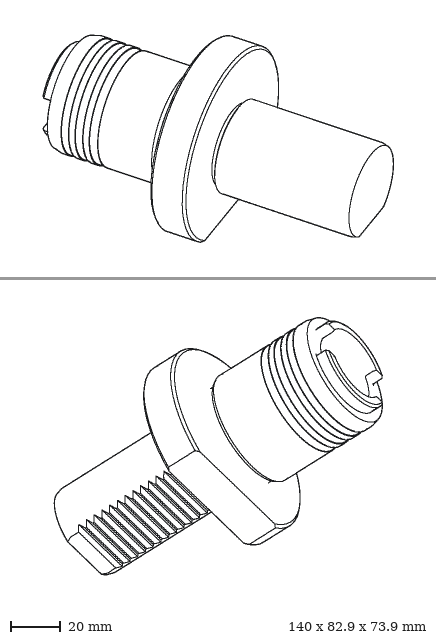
import cadquery as cq
import math

overall_length = 140.0
body_start = 5.6
ridge_starts = (9.0, 15.7, 22.1)
ridge_ends = (12.3, 18.6, 25.0)
body_plain_start = 28.8
body_end = 54.7
flange_start = 61.0
flange_end = 77.0
undercut_end = 79.4

nose_radius = 40.0 / 2
bore_radius = 31.0 / 2
ridge_radius = 50.0 / 2
groove_radius = 49.1 / 2
groove_clearance = 1.4
body_radius = 49.7 / 2
neck_radius = 44.5 / 2
flange_radius = 82.9 / 2
shank_radius = 40.0 / 2
undercut_depth = 2.2

nose_chamfer = 1.0
neck_fillet = 1.0
body_chamfer_length = 1.4
body_chamfer_drop = 0.8
flange_chamfer = 1.1
bore_lead_length = 1.4
lead_angle = math.radians(15)
shank_lead_length = 2.4

bore_depth = 22.4
slot_width = 16.8
slot_root_fillet = 0.7
flange_flat_height = 73.9 - flange_radius
shank_flat_height = 16.1
shank_flat_start = 80.0
tooth_count = 12
tooth_row_length = 44.0
tooth_pitch = tooth_row_length / (tooth_count - 1)
tooth_depth = 1.7
first_tooth_gap = 87.8


def lead_drop(length):
    """Change of radius over a lead-in cone of the given length."""
    return length * math.tan(lead_angle)


def turned_blank():
    """Solid of revolution about X: nose, ridged body, neck, flange and shank."""
    body_lead = lead_drop(ridge_starts[0] - body_start)
    undercut_radius = shank_radius - undercut_depth
    undercut_floor_end = undercut_end - undercut_depth
    return (
        cq.Workplane("XY")
        .lineTo(0, nose_radius - nose_chamfer)
        .lineTo(nose_chamfer, nose_radius)
        .lineTo(body_start, nose_radius)
        .lineTo(body_start, ridge_radius - body_lead)
        .lineTo(ridge_starts[0], ridge_radius)
        .lineTo(body_plain_start, ridge_radius)
        .lineTo(body_plain_start, body_radius)
        .lineTo(body_end - body_chamfer_length, body_radius)
        .lineTo(body_end, body_radius - body_chamfer_drop)
        .lineTo(body_end, neck_radius)
        .lineTo(flange_start - neck_fillet, neck_radius)
        .radiusArc((flange_start, neck_radius + neck_fillet), -neck_fillet)
        .lineTo(flange_start, flange_radius - flange_chamfer)
        .lineTo(flange_start + flange_chamfer, flange_radius)
        .lineTo(flange_end - flange_chamfer, flange_radius)
        .lineTo(flange_end, flange_radius - flange_chamfer)
        .lineTo(flange_end, undercut_radius)
        .lineTo(undercut_floor_end, undercut_radius)
        .radiusArc((undercut_end, shank_radius), -undercut_depth)
        .lineTo(overall_length - shank_lead_length, shank_radius)
        .lineTo(overall_length, shank_radius - lead_drop(shank_lead_length))
        .lineTo(overall_length, 0)
        .close()
        .revolve(360, (0, 0, 0), (1, 0, 0))
    )


def ring_grooves():
    """Shallow rings cut behind each ridge of the body."""
    groove_ends = ridge_starts[1:] + (body_plain_start,)
    grooves = cq.Workplane("YZ")
    for start, end in zip(ridge_ends, groove_ends):
        ring = (
            cq.Workplane("YZ", origin=(start, 0, 0))
            .circle(ridge_radius + groove_clearance)
            .circle(groove_radius)
            .extrude(end - start)
        )
        grooves = grooves.add(ring)
    return grooves.combine()


def bore():
    """Blind bore from the nose, with a lead-in cone at its mouth."""
    return (
        cq.Workplane("XY")
        .lineTo(0, bore_radius + lead_drop(bore_lead_length))
        .lineTo(bore_lead_length, bore_radius)
        .lineTo(bore_depth, bore_radius)
        .lineTo(bore_depth, 0)
        .close()
        .revolve(360, (0, 0, 0), (1, 0, 0))
    )


def drive_slot():
    """Slot across the nose along Y, with rounded root corners."""
    return (
        cq.Workplane("XY")
        .box(2 * body_start, 2 * ridge_radius, slot_width)
        .edges("|Y and >X")
        .fillet(slot_root_fillet)
    )


def below(height, start, end):
    """Block that removes everything under Z = -height between two X positions."""
    return (
        cq.Workplane("XY", origin=((start + end) / 2, 0, -height))
        .rect(end - start, 2 * flange_radius)
        .extrude(-flange_radius)
    )


def tooth_gaps():
    """Row of 90 degree V notches across the shank flat."""
    gaps = cq.Workplane("XZ")
    for index in range(tooth_count):
        center = first_tooth_gap + index * tooth_pitch
        gaps = (
            gaps.moveTo(center - tooth_depth, -shank_flat_height)
            .lineTo(center, tooth_depth - shank_flat_height)
            .lineTo(center + tooth_depth, -shank_flat_height)
            .close()
        )
    return gaps.extrude(shank_radius, both=True)


result = (
    turned_blank()
    .cut(ring_grooves())
    .cut(bore())
    .cut(drive_slot())
    .cut(below(flange_flat_height, flange_start, flange_end))
    .cut(below(shank_flat_height, shank_flat_start, overall_length))
    .cut(tooth_gaps())
)